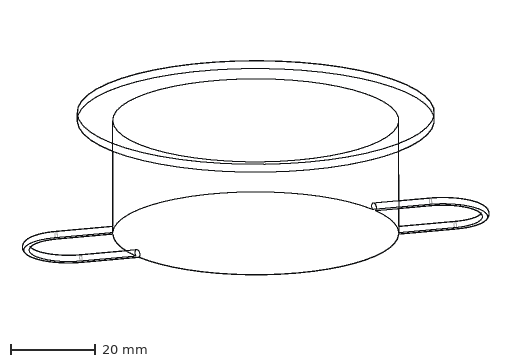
import cadquery as cq

overall_length = 115.1
overall_height = 30.0
flange_diameter = 85.0
flange_thickness = 2.0
body_diameter = 68.0
wire_diameter = 2.0
loop_radius = 10.0
wire_axis_height = 0.75
wire_embedment = 3.5

wire_radius = wire_diameter / 2
body_radius = body_diameter / 2
loop_tip = overall_length / 2 - wire_radius
bend_start = loop_tip - loop_radius
leg_start = body_radius - wire_embedment


def make_body():
    """Plain round body carrying a wider disc flange on top."""
    body = cq.Workplane("XY").circle(body_radius).extrude(overall_height)
    flange = (
        cq.Workplane("XY")
        .workplane(offset=overall_height - flange_thickness)
        .circle(flange_diameter / 2)
        .extrude(flange_thickness)
    )
    return body.union(flange)


def make_handle():
    """U-shaped round wire on the +Y side, cut flat at the base plane."""
    path = (
        cq.Workplane("XY", origin=(0, 0, wire_axis_height))
        .moveTo(-loop_radius, leg_start)
        .lineTo(-loop_radius, bend_start)
        .threePointArc((0, loop_tip), (loop_radius, bend_start))
        .lineTo(loop_radius, leg_start)
    )
    profile = cq.Workplane("XZ", origin=(-loop_radius, leg_start, wire_axis_height)).circle(wire_radius)
    below_base = cq.Workplane("XY").rect(overall_length, overall_length).extrude(-wire_diameter)
    return profile.sweep(path).cut(below_base)


handle = make_handle()
result = make_body()
for angle in (0, 180):
    result = result.union(handle.rotate((0, 0, 0), (0, 0, 1), angle))